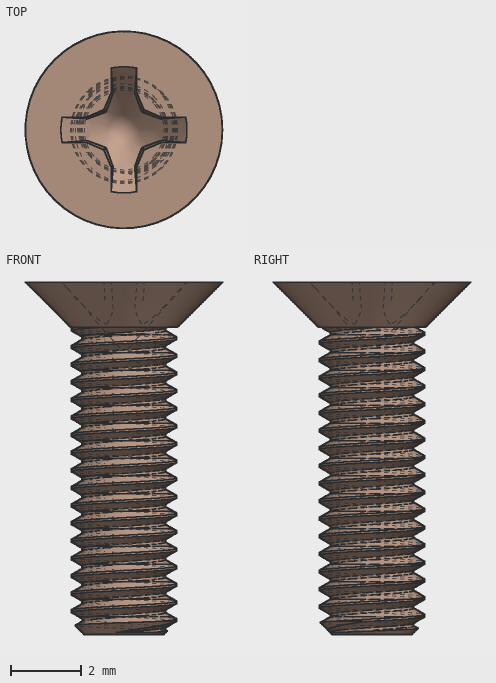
import cadquery as cq
import math

total_length = 10.0
head_radius = 2.8
head_height = 1.28
neck_radius = head_radius - head_height
shank_length = total_length - head_height

pitch = 0.5
major_radius = 1.5
root_radius = 1.19
crest_width = pitch / 8
flank_angle = 30.0
crest_height_at_x = 0.41
flank_samples = 12
tip_radius = 1.13

recess_radius = 1.79
recess_depth = 2.0
wing_half_width = 0.36
wing_inner_end = 1.06
web_corner = 0.57
recess_draft = 4.0


def make_head():
    """Flat-topped countersunk head."""
    profile = [
        (0, shank_length),
        (neck_radius, shank_length),
        (head_radius, total_length),
        (0, total_length),
    ]
    return cq.Workplane("XZ").polyline(profile).close().revolve(360, (0, 0), (0, 1))


def polar_point(radius, angle):
    return (radius * math.cos(angle), radius * math.sin(angle))


def make_thread():
    """Thread made by twisting its level cross-section up the shank.

    In a level section the crest and the root are arcs, and each straight
    flank becomes a spiral whose radius changes evenly with the angle.
    """
    angle_per_height = 2 * math.pi / pitch
    thread_depth = major_radius - root_radius
    crest_half = crest_width / 2 * angle_per_height
    flank_span = thread_depth * math.tan(math.radians(flank_angle)) * angle_per_height
    root_start = crest_half + flank_span

    def falling_flank(t):
        return polar_point(major_radius - thread_depth * t, crest_half + flank_span * t)

    def rising_flank(t):
        return polar_point(root_radius + thread_depth * t, -root_start + flank_span * t)

    section = (
        cq.Workplane("XY")
        .moveTo(*polar_point(major_radius, -crest_half))
        .threePointArc((major_radius, 0), polar_point(major_radius, crest_half))
        .parametricCurve(falling_flank, N=flank_samples, makeWire=False)
        .moveTo(*polar_point(root_radius, root_start))
        .threePointArc((-root_radius, 0), polar_point(root_radius, -root_start))
        .parametricCurve(rising_flank, N=flank_samples, makeWire=False)
        .wire()
    )
    one_turn = section.twistExtrude(pitch, 360)
    thread = one_turn
    for turn in range(1, math.ceil(shank_length / pitch)):
        thread = thread.union(one_turn.translate((0, 0, turn * pitch)), clean=False)
    crest_angle_at_tip = -360 * crest_height_at_x / pitch
    return thread.rotate((0, 0, 0), (0, 0, 1), crest_angle_at_tip)


def make_shank():
    """Threaded shank with a 45 degree chamfer at its tip."""
    ring_radius = major_radius + 0.1
    ring_profile = [
        (tip_radius, 0),
        (ring_radius, 0),
        (ring_radius, ring_radius - tip_radius),
    ]
    ring = cq.Workplane("XZ").polyline(ring_profile).close().revolve(360, (0, 0), (0, 1))
    return make_thread().cut(ring, clean=False)


def make_recess():
    """Four tapered wings bottoming on a cone."""
    quarter = [
        (recess_radius, wing_half_width),
        (wing_inner_end, wing_half_width),
        (web_corner, web_corner),
        (wing_half_width, wing_inner_end),
        (wing_half_width, recess_radius),
    ]
    outline = []
    for _ in range(4):
        outline += quarter
        quarter = [(-y, x) for x, y in quarter]
    top = cq.Workplane("XY").workplane(offset=total_length)
    wings = top.polyline(outline).close().extrude(-recess_depth, taper=recess_draft)
    floor_profile = [
        (0, total_length - recess_depth),
        (recess_radius, total_length),
        (0, total_length),
    ]
    floor = cq.Workplane("XZ").polyline(floor_profile).close().revolve(360, (0, 0), (0, 1))
    return wings.intersect(floor)


result = make_shank().union(make_head(), clean=False).cut(make_recess(), clean=False)